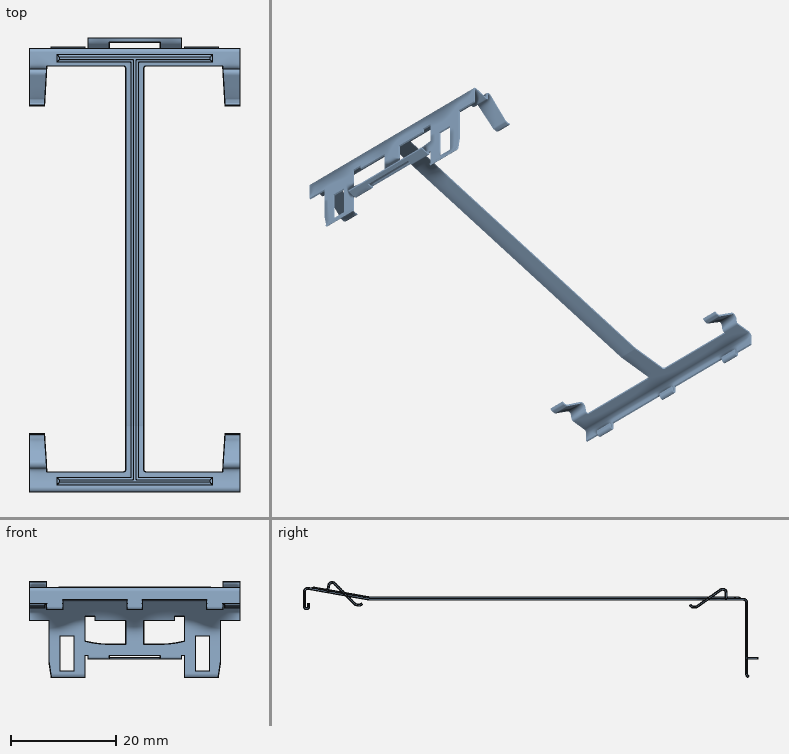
import cadquery as cq
import math

SHEET = 0.35
MID = SHEET / 2
HALF_WIDTH = 40.0 / 2
LENGTH = 86.25
MARGIN = 0.9

WALL_BACK_Y = 84.3
KINK_Y = 12.5
FRONT_SLOPE = 10.0
CORNER_BEND = 0.6
LIP_END_Z = -14.9
LIP_CORNER_Z = -14.6
LIP_REACH = 0.35
LIP_BEND = 0.7
HOOK_BOTTOM_Z = -2.15
HOOK_TOP_Z = -1.0
HOOK_DEPTH = 1.1
HOOK_BEND = 0.35

BEAM_HALF_WIDTH = 1.7
FRONT_FLANGE_EDGE_Y = 3.9
REAR_FLANGE_EDGE_Y = 80.9
BEAM_CORNER_RADIUS = 0.4

SHOULDER_Z = -4.2
LEG_OUTER_X = 16.3
LEG_INNER_X = 9.4
LEG_TIP_X = 15.9
LEG_TAPER_Z = -12.1
WEB_BOTTOM_Z = -10.9
LEG_SLOT_X = (11.6, 14.15)
LEG_SLOT_Z = (-13.8, -7.2)
WINDOW_INNER_X = 1.7
WINDOW_BOTTOM_Z = -8.7
WINDOW_FLAT_END_X = 4.75
WINDOW_ARC_RADIUS = 19.0
WINDOW_NOTCH_X = 7.6
WINDOW_NOTCH_Z = -3.45

TAB_HALF_WIDTH = 8.9
TAB_BOTTOM_Z = -11.6
TAB_BEND = 0.3
TAB_SLOT_HALF_WIDTH = 4.8
TAB_SLOT_END_Y = 85.4

CENTRE_LUG_HALF_WIDTH = 1.5
SIDE_LUG_X = (13.6, 16.7)
FRONT_WALL_BOTTOM_Z = -0.3
FRONT_WALL_END_Z = -1.0

FINGER_ROOT_X = 16.65
FINGER_TIP_X = 17.2
FINGER_OVERLAP = 0.5
FINGER_RISE_AT = 0.7
FINGER_PATH = [
    (-FINGER_OVERLAP, -MID), (FINGER_RISE_AT, -MID), (FINGER_RISE_AT, 2.3),
    (6.3, -1.6), (7.2, -1.6), (7.5, -1.3),
]
FINGER_BENDS = [0.35, 0.65, 0.35, 0.35]

RIB_HEIGHT = 0.3
RIB_HALF_BASE = 0.7
RIB_HALF_TOP = 0.215
RIB_HALF_LENGTH = 14.75
RIB_CORNER_RADIUS = 0.5
FRONT_RIB_Y = 1.9
REAR_RIB_Y = 82.4


def direction(start, end):
    length = math.dist(start, end)
    return ((end[0] - start[0]) / length, (end[1] - start[1]) / length)


def left_of(vector):
    return (-vector[1], vector[0])


def along(point, vector, distance):
    return (point[0] + distance * vector[0], point[1] + distance * vector[1])


def sheet_side(path, bends, offset):
    """One face of a bent sheet, offset to the left of its centre path.

    Each item is [corner] or an arc as [start, middle, end]; a bend of 0 keeps a sharp corner.
    """
    runs = [direction(a, b) for a, b in zip(path, path[1:])]
    side = [[along(path[0], left_of(runs[0]), offset)]]
    for corner, bend, before, after in zip(path[1:], bends, runs, runs[1:]):
        turn = math.atan2(
            before[0] * after[1] - before[1] * after[0],
            before[0] * after[0] + before[1] * after[1],
        )
        bisector = left_of(direction((0, 0), (before[0] + after[0], before[1] + after[1])))
        stretch = 1 / math.cos(turn / 2)
        if bend == 0:
            side.append([along(corner, bisector, offset * stretch)])
            continue
        centre_offset = math.copysign(bend, turn)
        centre = along(corner, bisector, centre_offset * stretch)
        normals = [left_of(before), bisector, left_of(after)]
        side.append([along(centre, normal, offset - centre_offset) for normal in normals])
    side.append([along(path[-1], left_of(runs[-1]), offset)])
    return side


def bent_sheet(path, bends, half_width):
    """Sheet along a (Y, Z) centre path, with a centre radius for each inner point of the path."""
    back = [points[::-1] for points in reversed(sheet_side(path, bends, -MID))]
    outline = sheet_side(path, bends, MID) + back
    sketch = cq.Workplane("YZ").moveTo(*outline[0][0])
    for points in outline[1:]:
        sketch = sketch.lineTo(*points[0])
        if len(points) == 3:
            sketch = sketch.threePointArc(points[1], points[2])
    return sketch.close().extrude(half_width, both=True)


def block(x, y, z):
    size = (x[1] - x[0], y[1] - y[0], z[1] - z[0])
    return cq.Workplane("XY").box(*size, centered=False).translate((x[0], y[0], z[0]))


def both_sides(solid):
    return solid.union(solid.mirror("YZ"))


def on_slope(solid):
    """Tilt a solid built on the flat sheet so that it lies on the sloping front part."""
    return solid.rotate((0, KINK_Y, -MID), (1, KINK_Y, -MID), -FRONT_SLOPE)


def folded_strip():
    """Full-width strip from the rear lip, over the top, to the front hook."""
    wall_y = WALL_BACK_Y - MID
    front_z = -MID + (KINK_Y - MID) * math.tan(math.radians(FRONT_SLOPE))
    hook_y = HOOK_DEPTH - MID
    hook_z = HOOK_BOTTOM_Z + MID
    path = [
        (wall_y + LIP_REACH, LIP_END_Z),
        (wall_y, LIP_CORNER_Z),
        (wall_y, -MID),
        (KINK_Y, -MID),
        (MID, front_z),
        (MID, hook_z),
        (hook_y, hook_z),
        (hook_y, HOOK_TOP_Z),
    ]
    bends = [LIP_BEND, CORNER_BEND, 0, CORNER_BEND, HOOK_BEND, HOOK_BEND]
    return bent_sheet(path, bends, HALF_WIDTH)


def beam_clearance():
    """Openings on both sides of the beam, between the flanges."""
    side = block(
        (BEAM_HALF_WIDTH, HALF_WIDTH + MARGIN),
        (FRONT_FLANGE_EDGE_Y, REAR_FLANGE_EDGE_Y),
        (-KINK_Y, KINK_Y),
    )
    return both_sides(side.edges("|Z and <X").fillet(BEAM_CORNER_RADIUS))


REAR_CUT_Y = (WALL_BACK_Y - 2 * SHEET, LENGTH)
REAR_CUT_LOW_Z = LIP_END_Z - MARGIN


def rear_cut(sketch):
    return sketch.close().extrude(REAR_CUT_Y[1] - REAR_CUT_Y[0])


def rear_window(wall):
    def arc_z(x):
        run = x - WINDOW_FLAT_END_X
        return WINDOW_BOTTOM_Z + WINDOW_ARC_RADIUS - math.sqrt(WINDOW_ARC_RADIUS**2 - run**2)

    arc_middle_x = (WINDOW_FLAT_END_X + LEG_INNER_X) / 2
    return rear_cut(
        wall.moveTo(WINDOW_INNER_X, SHOULDER_Z)
        .lineTo(WINDOW_INNER_X, WINDOW_BOTTOM_Z)
        .lineTo(WINDOW_FLAT_END_X, WINDOW_BOTTOM_Z)
        .threePointArc((arc_middle_x, arc_z(arc_middle_x)), (LEG_INNER_X, arc_z(LEG_INNER_X)))
        .lineTo(LEG_INNER_X, WINDOW_NOTCH_Z)
        .lineTo(WINDOW_NOTCH_X, WINDOW_NOTCH_Z)
        .lineTo(WINDOW_NOTCH_X, SHOULDER_Z)
    )


def rear_wall_cuts():
    """Everything removed from the rear wall: outside of the legs, slots, windows and gap."""
    wall = cq.Workplane("XZ", origin=(0, LENGTH, 0))
    outside = rear_cut(wall.polyline([
        (HALF_WIDTH + MARGIN, SHOULDER_Z),
        (LEG_OUTER_X, SHOULDER_Z),
        (LEG_OUTER_X, LEG_TAPER_Z),
        (LEG_TIP_X, LIP_END_Z),
        (LEG_TIP_X, REAR_CUT_LOW_Z),
        (HALF_WIDTH + MARGIN, REAR_CUT_LOW_Z),
    ]))
    slot = block(LEG_SLOT_X, REAR_CUT_Y, LEG_SLOT_Z)
    gap = block((-LEG_INNER_X, LEG_INNER_X), REAR_CUT_Y, (REAR_CUT_LOW_Z, WEB_BOTTOM_Z))
    return both_sides(outside.union(slot).union(rear_window(wall))).union(gap)


def front_wall_cuts():
    """Leaves three hooked lugs below the front wall."""
    y = (-MARGIN, FRONT_FLANGE_EDGE_Y)
    low_z = HOOK_BOTTOM_Z - MARGIN
    between = block((CENTRE_LUG_HALF_WIDTH, SIDE_LUG_X[0]), y, (low_z, FRONT_WALL_BOTTOM_Z))
    outside = block((SIDE_LUG_X[1], HALF_WIDTH + MARGIN), y, (low_z, FRONT_WALL_END_Z))
    return both_sides(between.union(outside))


def tab():
    wall_y = WALL_BACK_Y - MID
    tab_z = TAB_BOTTOM_Z + MID
    path = [(wall_y, WEB_BOTTOM_Z), (wall_y, tab_z), (LENGTH, tab_z)]
    slot = block(
        (-TAB_SLOT_HALF_WIDTH, TAB_SLOT_HALF_WIDTH),
        (REAR_CUT_Y[0], TAB_SLOT_END_Y),
        (TAB_BOTTOM_Z - MARGIN, WEB_BOTTOM_Z),
    )
    return bent_sheet(path, [TAB_BEND], TAB_HALF_WIDTH).cut(slot)


def fingers():
    """Pair of tapering spring fingers on a flange whose edge lies on Y = 0, pointing to -Y."""
    sheet = bent_sheet([(-distance, z) for distance, z in FINGER_PATH], FINGER_BENDS, HALF_WIDTH)
    tip_y = -FINGER_PATH[-1][0] - MARGIN
    plan = cq.Workplane("XY").polyline([
        (FINGER_ROOT_X, FINGER_OVERLAP),
        (HALF_WIDTH, FINGER_OVERLAP),
        (HALF_WIDTH, tip_y),
        (FINGER_TIP_X, tip_y),
    ]).close().extrude(HALF_WIDTH, both=True)
    return sheet.intersect(both_sides(plan))


def spring_clip():
    clip = folded_strip().cut(beam_clearance()).cut(rear_wall_cuts()).cut(front_wall_cuts())
    rear_fingers = fingers().translate((0, REAR_FLANGE_EDGE_Y, 0))
    edge_run = (KINK_Y - FRONT_FLANGE_EDGE_Y) / math.cos(math.radians(FRONT_SLOPE))
    front_fingers = on_slope(fingers().mirror("XZ").translate((0, KINK_Y - edge_run, 0)))
    return clip.union(tab()).union(rear_fingers).union(front_fingers)


def ridge_profile(plane, half_base, half_top):
    return cq.Workplane(plane).polyline([
        (-half_base, 0), (-half_top, RIB_HEIGHT), (half_top, RIB_HEIGHT), (half_base, 0),
    ]).close()


def rib_tee(stem_length):
    """Cross ridge along X through the origin with a stem along +Y, standing on Z = 0."""
    side_slant = RIB_HALF_BASE - RIB_HALF_TOP
    ends = ridge_profile("XZ", RIB_HALF_LENGTH, RIB_HALF_LENGTH - side_slant)
    sides = ridge_profile("YZ", RIB_HALF_BASE, RIB_HALF_TOP)
    cross = sides.extrude(RIB_HALF_LENGTH, both=True).intersect(ends.extrude(RIB_HALF_BASE, both=True))
    stem = ridge_profile("XZ", RIB_HALF_BASE, RIB_HALF_TOP).extrude(-stem_length)
    junction = cq.selectors.BoxSelector(
        (-RIB_HALF_BASE, RIB_HALF_TOP, 0), (RIB_HALF_BASE, RIB_HALF_BASE, RIB_HEIGHT)
    )
    return cross.union(stem).edges(junction).fillet(RIB_CORNER_RADIUS)


def top_rib():
    rear = rib_tee(REAR_RIB_Y - KINK_Y).rotate((0, 0, 0), (0, 0, 1), 180).translate((0, REAR_RIB_Y, 0))
    front = on_slope(rib_tee(KINK_Y - FRONT_RIB_Y).translate((0, FRONT_RIB_Y, 0)))
    return rear.union(front)


clip = spring_clip()
rib = top_rib().cut(clip)

result = cq.Compound.makeCompound([clip.val(), rib.val()])